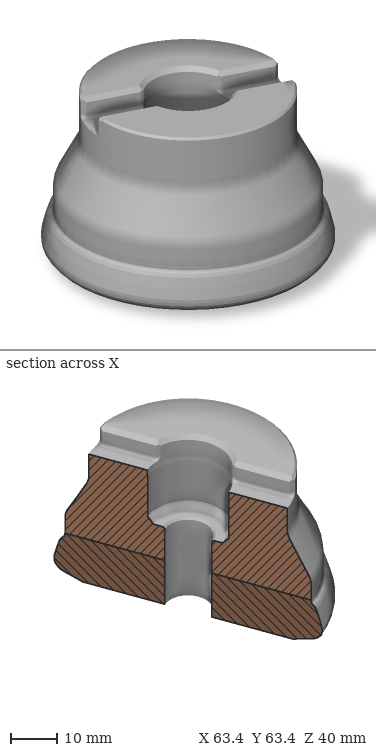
import cadquery as cq
import math

total_height = 40.0
split_height = 11.85

neck_radius = 47.0 / 2
shoulder_radius = 58.3 / 2
cone_top = 28.05
cone_bottom = 17.4
blend_radius = 5.0
rim_chamfer = 0.5

bore_mouth_radius = 19.2 / 2
bore_radius = 19.05 / 2
bore_chamfer = 1.0
bore_mouth_depth = 5.4
bore_taper_length = 1.0
bore_depth = 19.05
seat_break_radius = 8.4
seat_radius = 8.1
seat_cone_height = 1.4
seat_lip_height = 0.25
hole_radius = 11.0 / 2
hole_chamfer = 0.5

slot_half_width = 4.05
slot_depth = 4.8
slot_chamfer = 1.0
slot_corner = 0.75
slot_floor = total_height - slot_depth
floor_half_width = slot_half_width - slot_corner
flare_start = 22.1
flare_run = 1.9
inner_flare_start = 9.45
inner_flare_run = 0.95
inner_flare_growth = 0.45

ring_profile = [
    (shoulder_radius, split_height),
    (29.25, 11.1),
    (29.95, 10.5),
    (30.4, 9.8),
    (31.1, 7.5),
    (31.7, 5.0),
    (31.7, 4.25),
    (31.6, 3.5),
    (31.1, 2.7),
    (30.3, 1.95),
    (29.45, 1.5),
    (27.1, 0.75),
    (24.8, 0),
]


def revolve_profile(points):
    """Revolve a closed (radius, height) outline about Z."""
    return cq.Workplane("XZ").polyline(points).close().revolve(360, (0, 0), (0, 1))


def holder_blank():
    """Turned outside with rounded neck and shoulder transitions."""
    cone_angle = math.atan2(shoulder_radius - neck_radius, cone_top - cone_bottom)
    tangent = blend_radius * math.tan(cone_angle / 2)
    along_r = tangent * math.sin(cone_angle)
    along_z = tangent * math.cos(cone_angle)
    half_turn_r = blend_radius * (1 - math.cos(cone_angle / 2))
    half_turn_z = blend_radius * math.sin(cone_angle / 2)
    shoulder_blend_start = cone_bottom - tangent
    neck_blend_end = cone_top + tangent
    return (
        cq.Workplane("XZ")
        .moveTo(0, split_height)
        .lineTo(shoulder_radius, split_height)
        .lineTo(shoulder_radius, shoulder_blend_start)
        .threePointArc(
            (shoulder_radius - half_turn_r, shoulder_blend_start + half_turn_z),
            (shoulder_radius - along_r, cone_bottom + along_z),
        )
        .lineTo(neck_radius + along_r, cone_top - along_z)
        .threePointArc(
            (neck_radius + half_turn_r, neck_blend_end - half_turn_z),
            (neck_radius, neck_blend_end),
        )
        .lineTo(neck_radius, total_height - rim_chamfer)
        .lineTo(neck_radius - rim_chamfer, total_height)
        .lineTo(0, total_height)
        .close()
        .revolve(360, (0, 0), (0, 1))
    )


def bore_cutter():
    """Stepped bore from the top face down through the joint."""
    mouth_end = total_height - bore_mouth_depth
    seat = total_height - bore_depth
    return revolve_profile([
        (0, total_height),
        (bore_mouth_radius + bore_chamfer, total_height),
        (bore_mouth_radius, total_height - bore_chamfer),
        (bore_mouth_radius, mouth_end),
        (bore_radius, mouth_end - bore_taper_length),
        (bore_radius, seat + seat_lip_height + seat_cone_height),
        (seat_break_radius, seat + seat_lip_height),
        (seat_radius, seat),
        (hole_radius + hole_chamfer, seat),
        (hole_radius, seat - hole_chamfer),
        (hole_radius, split_height),
        (0, split_height),
    ])


def slot_outline(y, growth):
    """Slot section at a given Y, its walls moved out by growth over a fixed floor."""
    wall = slot_half_width + growth
    corner_width = wall - floor_half_width
    mid_x = floor_half_width + corner_width * math.sin(math.pi / 4)
    mid_z = slot_floor + slot_corner * (1 - math.cos(math.pi / 4))
    corner_top = slot_floor + slot_corner
    return (
        cq.Workplane("XZ", origin=(0, y, 0))
        .moveTo(-floor_half_width, slot_floor)
        .lineTo(floor_half_width, slot_floor)
        .threePointArc((mid_x, mid_z), (wall, corner_top))
        .lineTo(wall, total_height)
        .lineTo(-wall, total_height)
        .lineTo(-wall, corner_top)
        .threePointArc((-mid_x, mid_z), (-floor_half_width, slot_floor))
        .close()
    )


def slot_flare(start, run, growth):
    """Slot end that widens by growth over a signed run along Y."""
    near_end = slot_outline(start, 0).val()
    far_end = slot_outline(start + run, growth).val()
    return cq.Workplane(cq.Solid.makeLoft([near_end, far_end], True))


def slot_edge_chamfer():
    """Trapezoid that bevels both top edges of the slot along its whole length."""
    top_half_width = slot_half_width + slot_chamfer
    bevel_bottom = total_height - slot_chamfer
    return (
        cq.Workplane("XZ", origin=(0, neck_radius, 0))
        .polyline([
            (-slot_half_width, bevel_bottom),
            (slot_half_width, bevel_bottom),
            (top_half_width, total_height),
            (-top_half_width, total_height),
        ])
        .close()
        .extrude(2 * neck_radius)
    )


def rim_bevel(side):
    """45-degree wedge off the top face, over the slot end at +Y or -Y."""
    start = side * flare_start
    end = side * (flare_start + flare_run)
    return (
        cq.Workplane("YZ")
        .polyline([
            (start, total_height),
            (end, total_height),
            (end, total_height - flare_run),
        ])
        .close()
        .extrude(neck_radius, both=True)
    )


def make_holder():
    """Holder with stepped bore and cross slot."""
    body = holder_blank().cut(bore_cutter())
    body = body.cut(slot_outline(neck_radius, 0).extrude(2 * neck_radius))
    body = body.cut(slot_edge_chamfer())
    for side in (1, -1):
        outer_flare = slot_flare(side * flare_start, side * flare_run, flare_run)
        inner_flare = slot_flare(side * inner_flare_start, -side * inner_flare_run, inner_flare_growth)
        body = body.cut(outer_flare).cut(inner_flare)
        body = body.cut(rim_bevel(side))
    return body.solids()


def make_cutting_ring():
    """Ring of stacked cones with the through hole of the holder carried on."""
    ring = revolve_profile([(0, 0), (0, split_height)] + ring_profile)
    hole = cq.Workplane("XY").circle(hole_radius).extrude(split_height)
    return ring.cut(hole).solids()


holder = make_holder()
cutting_ring = make_cutting_ring()

result = cq.Compound.makeCompound([holder.val(), cutting_ring.val()])